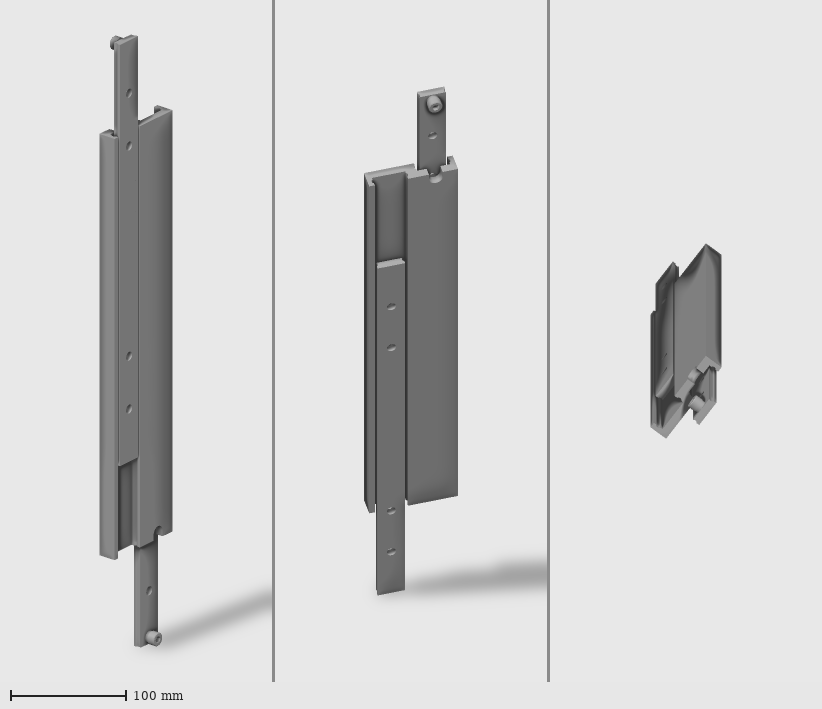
import cadquery as cq
import math

overall_height = 589.0
housing_width = 80.0
housing_thickness = 17.0
housing_height = 400.0
rail_length = housing_height

rail_width = 25.0
rail_thickness = 7.0
channel_width = 30.0
channel_depth = 9.5
channel_offset = 20.0

race_diameter = 5.5
race_x = 5.0
race_offset = (rail_width + channel_width) / 4

hole_diameter = 8.0
hole_spacing = 50.0

stud_head_diameter = 12.5
stud_head_length = 7.0
stud_head_chamfer = 0.5
stud_shank_diameter = 11.0
stud_end_distance = 6.5
socket_across_flats = 6.0
socket_depth = 4.0
stud_length = housing_thickness - rail_thickness

seat_width = 12.5
seat_depth = 12.0

housing_bottom = 102.5
face_x = housing_thickness / 2


def make_box(x_start, x_length, y_centre, y_width, z_start, z_height):
    """Box placed by its lower X, its Y centre and its lower Z."""
    corner = cq.Vector(x_start, y_centre - y_width / 2, z_start)
    return cq.Workplane(cq.Solid.makeBox(x_length, y_width, z_height, corner))


def x_cylinder(x_start, length, y, z, diameter):
    """Cylinder along +X."""
    start = cq.Vector(x_start, y, z)
    return cq.Workplane(cq.Solid.makeCylinder(diameter / 2, length, start, cq.Vector(1, 0, 0)))


def half_turn(body):
    """Turn a body by 180 degrees about the vertical centre line."""
    return body.rotate((0, 0, 0), (0, 0, 1), 180)


def opposite_end(body, height):
    """Point reflection of a body through the centre line, halfway up the given height."""
    return half_turn(body).mirror("XY", (0, 0, height / 2))


def make_races(z_start, length):
    """Round bars along Z that cut both ball races of the -X rail and channel."""
    centres = [(race_x - face_x, channel_offset + side * race_offset) for side in (-1, 1)]
    return (cq.Workplane("XY", origin=(0, 0, z_start)).pushPoints(centres)
            .circle(race_diameter / 2).extrude(length))


def make_channel():
    """Full-length channel open on the -X face, on the +Y side."""
    slot = make_box(-face_x, channel_depth, channel_offset, channel_width, housing_bottom, housing_height)
    return slot.union(make_races(housing_bottom, housing_height))


def make_seat():
    """Round-bottomed slot from the +X face into the channel, at the bottom end."""
    depth = housing_thickness - channel_depth
    start_x = face_x - depth
    straight_height = seat_depth - seat_width / 2
    straight = make_box(start_x, depth, channel_offset, seat_width, housing_bottom, straight_height)
    round_end = x_cylinder(start_x, depth, channel_offset, housing_bottom + straight_height, seat_width)
    return straight.union(round_end)


def make_housing():
    body = make_box(-face_x, housing_thickness, 0, housing_width, housing_bottom, housing_height)
    cutter = make_channel().union(make_seat())
    opposite_cutter = opposite_end(cutter, 2 * housing_bottom + housing_height)
    return body.cut(cutter).cut(opposite_cutter)


def make_stud():
    """Stop stud with a round shank, a wider chamfered head and a hexagonal socket in its +X end."""
    shank_x = rail_thickness - face_x
    shank = x_cylinder(shank_x, stud_length, channel_offset, stud_end_distance, stud_shank_diameter)
    head_x = face_x - stud_head_length
    head = x_cylinder(head_x, stud_head_length, channel_offset, stud_end_distance, stud_head_diameter)
    head = head.faces(">X").edges().chamfer(stud_head_chamfer)
    socket_corners = socket_across_flats / math.cos(math.pi / 6)
    socket = (cq.Workplane("YZ", origin=(face_x - socket_depth, channel_offset, stud_end_distance))
              .polygon(6, socket_corners).extrude(socket_depth))
    return shank.union(head).cut(socket)


def make_rail():
    """Rail on the -X face with its bottom at Z = 0 and its stud pointing to +X."""
    rail = make_box(-face_x, rail_thickness, channel_offset, rail_width, 0, rail_length)
    rail = rail.cut(make_races(0, rail_length))
    for distance in (hole_spacing, 2 * hole_spacing):
        for z in (distance, rail_length - distance):
            rail = rail.cut(x_cylinder(-face_x, rail_thickness, channel_offset, z, hole_diameter))
    return rail.union(make_stud())


housing = make_housing()
lower_rail = make_rail()
upper_rail = opposite_end(make_rail(), overall_height)

result = cq.Compound.makeCompound([housing.val(), lower_rail.val(), upper_rail.val()])